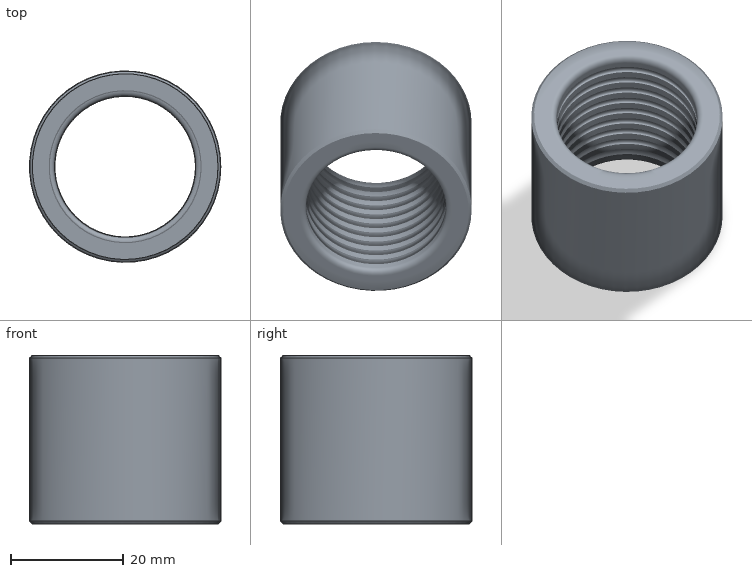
import cadquery as cq

outer_diameter = 34.0
bore_diameter = 25.0
length = 30.0

outer_chamfer = 0.5
bore_round = 1.0

groove_radius = 0.75
groove_pitch = 3.0
groove_count = 9

outer_radius = outer_diameter / 2
bore_radius = bore_diameter / 2
first_groove_height = (length - (groove_count - 1) * groove_pitch) / 2


def sleeve():
    """Sleeve with chamfered outer rims and rounded bore mouths."""
    cylinder = (
        cq.Workplane("XY")
        .circle(outer_radius)
        .extrude(length)
        .faces("<Z or >Z")
        .chamfer(outer_chamfer)
    )
    bored = cylinder.faces(">Z").workplane().circle(bore_radius).cutThruAll()
    smallest_circles = cq.selectors.RadiusNthSelector(0)
    return bored.edges("%CIRCLE").edges(smallest_circles).fillet(bore_round)


def ring_groove(height):
    """Ring of round section, centred on the bore wall at the given height."""
    center = cq.Vector(0, 0, height)
    return cq.Workplane(cq.Solid.makeTorus(bore_radius, groove_radius, center))


def cut_ring_grooves(body):
    """Row of separate half-round grooves around the bore wall."""
    for index in range(groove_count):
        body = body.cut(ring_groove(first_groove_height + index * groove_pitch))
    return body


result = cut_ring_grooves(sleeve())